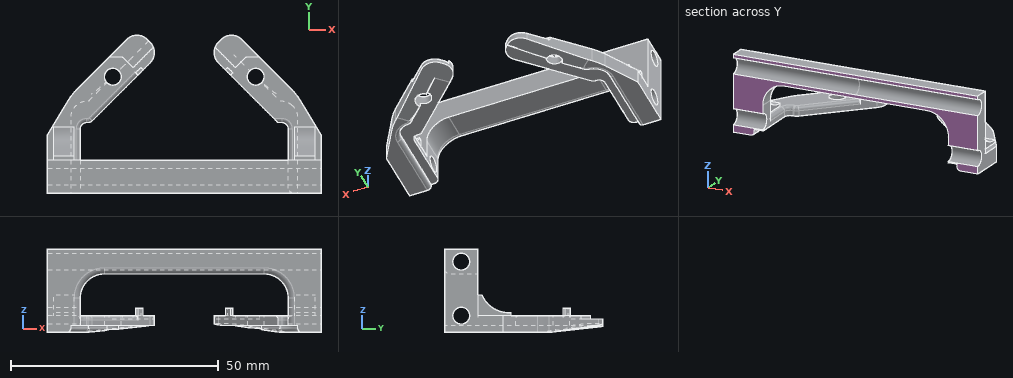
import cadquery as cq
import math

FRAME_WIDTH = 66.0
FRAME_DEPTH = 8.0
FRAME_HEIGHT = 20.0
LEG_WIDTH = 8.0
OPENING_HEIGHT = 14.0
OPENING_CORNER_RADIUS = 5.75
OPENING_FILLET = 1.5
HOLE_DIAMETER = 4.0
CROSS_HOLE_Y = FRAME_DEPTH / 2
CROSS_HOLE_HEIGHTS = (4.0, 17.0)

ARM_THICKNESS = 4.0
ARM_WIDTH = 8.0
ARM_ANGLE = 45.0
TOTAL_DEPTH = 38.09
ELBOW = (10.4, 17.0)
ELBOW_CONCAVE_RADIUS = 1.5
ELBOW_ROUND_RADIUS = 1.5
OUTER_STRAIGHT_END = 14.0
OUTER_SLANT_ANGLE = 58.9
OUTER_BEND_RADIUS = 15.0
TIP_RADIUS = 3.5
ARM_FILLET = 1.0

ARM_HOLE_ALONG = 11.65
TIP_STEP_DEPTH = 0.8
TIP_STEP_ALONG = 16.65
TIP_STEP_ACROSS = 2.1
TIP_STEP_Y = 32.85
PEG_ALONG = 16.2
PEG_LENGTH = 1.8
PEG_WIDTH = 0.8
PEG_TOP = 5.8
TAPER_ALONG = 4.5
LEFT_TAPER_ANGLE = 4.5
RIGHT_TAPER_ANGLE = 6.3

GROOVE_DEPTH = 1.6
LEG_GROOVE_WIDTH = 2.3
ARM_GROOVE_WIDTH = ARM_WIDTH / 2
GROOVE_HEAD_Y = 22.2
GROOVE_CORNER_RADIUS = 4.0
GROOVE_FILLET = 1.0

GUSSET_SIDE_GAP = 1.5
GUSSET_WIDTH = 5.0
GUSSET_END_Y = 16.0
GUSSET_TOP = 9.0
GUSSET_LEDGE_Y = 9.0
GUSSET_LIP_HEIGHT = 4.75
GUSSET_RADIUS = 7.0

OVERCUT = 1.0

COS_ARM = math.cos(math.radians(ARM_ANGLE))
SIN_ARM = math.sin(math.radians(ARM_ANGLE))


def arm_point(along, across):
    """Plan point at a distance along the arm from the elbow and across it from its inner edge."""
    x = ELBOW[0] + along * COS_ARM - across * SIN_ARM
    y = ELBOW[1] + along * SIN_ARM + across * COS_ARM
    return (x, y)


def arm_block(along_range, across_range, height):
    """Upright block from z = 0, aligned with the arm."""
    (start, end) = along_range
    (inner, outer) = across_range
    corners = [
        arm_point(start, inner),
        arm_point(end, inner),
        arm_point(end, outer),
        arm_point(start, outer),
    ]
    return cq.Workplane("XY").polyline(corners).close().extrude(height)


TIP_CORNER_Y = TOTAL_DEPTH - TIP_RADIUS
ARM_LENGTH = TIP_RADIUS + (
    TIP_CORNER_Y - ELBOW[1] - (ARM_WIDTH - TIP_RADIUS) * COS_ARM
) / SIN_ARM


def frame():
    body = cq.Workplane("XY").box(
        FRAME_WIDTH, FRAME_DEPTH, FRAME_HEIGHT, centered=(True, False, False)
    )
    opening = (
        cq.Workplane("XY")
        .box(
            FRAME_WIDTH - 2 * LEG_WIDTH,
            FRAME_DEPTH,
            OPENING_HEIGHT,
            centered=(True, False, False),
        )
        .edges("|Y and >Z")
        .fillet(OPENING_CORNER_RADIUS)
    )
    body = body.cut(opening)
    inner_x = FRAME_WIDTH / 2 - LEG_WIDTH
    front_rim = cq.selectors.BoxSelector(
        (-inner_x - OVERCUT, -OVERCUT, OVERCUT),
        (inner_x + OVERCUT, OVERCUT, OPENING_HEIGHT + OVERCUT),
    )
    return body.edges(front_rim).fillet(OPENING_FILLET)


def outer_bend_corner():
    """Sharp corner where the slanted outer side meets the outer edge of the arm."""
    slope = math.tan(math.radians(OUTER_SLANT_ANGLE))
    arm_slope = math.tan(math.radians(ARM_ANGLE))
    (edge_x, edge_y) = arm_point(0, ARM_WIDTH)
    x = (edge_y - arm_slope * edge_x - OUTER_STRAIGHT_END) / (slope - arm_slope)
    return (x, OUTER_STRAIGHT_END + slope * x)


def fillet_upright_edge(body, point, radius):
    (x, y) = point
    reach = 0.1
    selector = cq.selectors.BoxSelector(
        (x - reach, y - reach, 0), (x + reach, y + reach, ARM_THICKNESS)
    )
    return body.edges(selector).edges("|Z").fillet(radius)


def arm_plate(rounded_elbow):
    """Flat plate from the back of the frame to the still square tip of the arm."""
    bend = outer_bend_corner()
    tip_inner = arm_point(ARM_LENGTH, 0)
    tip_outer = arm_point(ARM_LENGTH, ARM_WIDTH)
    leg_corner = (LEG_WIDTH, ELBOW[1])
    outline = [
        (0, FRAME_DEPTH),
        (LEG_WIDTH, FRAME_DEPTH),
        leg_corner,
        ELBOW,
        tip_inner,
        tip_outer,
        bend,
        (0, OUTER_STRAIGHT_END),
    ]
    plate = cq.Workplane("XY").polyline(outline).close().extrude(ARM_THICKNESS)
    plate = fillet_upright_edge(plate, leg_corner, ELBOW_CONCAVE_RADIUS)
    plate = fillet_upright_edge(plate, bend, OUTER_BEND_RADIUS)
    if rounded_elbow:
        plate = fillet_upright_edge(plate, ELBOW, ELBOW_ROUND_RADIUS)
    return plate


def round_inner_edge(plate, rounded_elbow):
    """Round the top inner edge; past a rounded elbow the rounding runs on up to the peg."""
    leg_side = cq.selectors.NearestToPointSelector(
        (LEG_WIDTH, (FRAME_DEPTH + ELBOW[1]) / 2, ARM_THICKNESS)
    )
    rounded = plate.edges(leg_side).fillet(ARM_FILLET)
    if rounded_elbow:
        square_tip = plate.intersect(
            arm_block((PEG_ALONG, ARM_LENGTH), (0, ARM_WIDTH), ARM_THICKNESS)
        )
        rounded = rounded.union(square_tip)
    return rounded


def round_tip(plate):
    for across in (0, ARM_WIDTH):
        plate = fillet_upright_edge(plate, arm_point(ARM_LENGTH, across), TIP_RADIUS)
    return plate


def tip_step():
    """Volume above the lowered tip."""
    (outer_x, _) = arm_point(0, ARM_WIDTH + OVERCUT)
    inner_corner = arm_point(TIP_STEP_ALONG, TIP_STEP_ACROSS)
    kink_x = inner_corner[0] - (TIP_STEP_Y - inner_corner[1]) * math.tan(math.radians(ARM_ANGLE))
    far_end = ARM_LENGTH + OVERCUT
    far_corner = arm_point(far_end, ARM_WIDTH + OVERCUT)
    outline = [
        (outer_x, TIP_STEP_Y),
        (kink_x, TIP_STEP_Y),
        inner_corner,
        arm_point(far_end, TIP_STEP_ACROSS),
        far_corner,
        (outer_x, far_corner[1]),
    ]
    floor = ARM_THICKNESS - TIP_STEP_DEPTH
    return (
        cq.Workplane("XY")
        .workplane(offset=floor)
        .polyline(outline)
        .close()
        .extrude(TIP_STEP_DEPTH)
    )


def taper_wedge(angle):
    """Wedge under the arm that thins it towards the tip."""
    start = arm_point(TAPER_ALONG, -OVERCUT)
    run = ARM_LENGTH + OVERCUT - TAPER_ALONG
    rise = run * math.tan(math.radians(angle))
    section = cq.Plane(
        origin=(start[0], start[1], 0),
        xDir=(COS_ARM, SIN_ARM, 0),
        normal=(SIN_ARM, -COS_ARM, 0),
    )
    return (
        cq.Workplane(section)
        .polyline([(0, 0), (run, 0), (run, rise)])
        .close()
        .extrude(-(ARM_WIDTH + 2 * OVERCUT))
    )


def arm_hole():
    (x, y) = arm_point(ARM_HOLE_ALONG, ARM_WIDTH / 2)
    return cq.Workplane("XY").center(x, y).circle(HOLE_DIAMETER / 2).extrude(ARM_THICKNESS)


def groove():
    """Groove volume under the inner edge, from the front of the leg to the tip."""
    wall_x = LEG_WIDTH - LEG_GROOVE_WIDTH
    (line_x, line_y) = arm_point(0, ARM_GROOVE_WIDTH)
    bend_x = line_x + (GROOVE_HEAD_Y - line_y) / math.tan(math.radians(ARM_ANGLE))
    head_corner = (wall_x, GROOVE_HEAD_Y)
    far_end = ARM_LENGTH + OVERCUT
    outline = [
        (wall_x, 0),
        head_corner,
        (bend_x, GROOVE_HEAD_Y),
        arm_point(far_end, ARM_GROOVE_WIDTH),
        arm_point(far_end, -OVERCUT),
        (ELBOW[0], ELBOW[1] - OVERCUT),
        (ELBOW[0], 0),
    ]
    volume = cq.Workplane("XY").polyline(outline).close().extrude(GROOVE_DEPTH)
    return fillet_upright_edge(volume, head_corner, GROOVE_CORNER_RADIUS)


def round_groove_mouth(body):
    """Round the lower edge of the groove wall along the leg and the arm."""
    leg_edge_point = (LEG_WIDTH - LEG_GROOVE_WIDTH, FRAME_DEPTH, 0)
    (x, y) = arm_point(ARM_LENGTH / 2, ARM_GROOVE_WIDTH)
    leg_edge = cq.selectors.NearestToPointSelector(leg_edge_point)
    arm_edge = cq.selectors.NearestToPointSelector((x, y, 0))
    return body.edges(cq.selectors.SumSelector(leg_edge, arm_edge)).fillet(GROOVE_FILLET)


def gusset():
    """Rib with a hollow curved back that braces the leg on the arm."""
    return (
        cq.Workplane("YZ")
        .workplane(offset=GUSSET_SIDE_GAP)
        .moveTo(FRAME_DEPTH, ARM_THICKNESS)
        .lineTo(FRAME_DEPTH, GUSSET_TOP)
        .lineTo(GUSSET_LEDGE_Y, GUSSET_TOP)
        .radiusArc((GUSSET_END_Y, GUSSET_LIP_HEIGHT), -GUSSET_RADIUS)
        .lineTo(GUSSET_END_Y, ARM_THICKNESS)
        .close()
        .extrude(GUSSET_WIDTH)
    )


def arm(rounded_elbow):
    """Left-hand arm, with its outer side on x = 0."""
    plate = round_inner_edge(arm_plate(rounded_elbow), rounded_elbow)
    plate = round_tip(plate)
    peg = arm_block((PEG_ALONG, PEG_ALONG + PEG_LENGTH), (0, PEG_WIDTH), PEG_TOP)
    return plate.cut(tip_step()).union(peg).union(gusset())


def finish_underside(body, taper_angle):
    body = body.cut(groove())
    body = round_groove_mouth(body)
    body = body.cut(taper_wedge(taper_angle))
    return body.cut(arm_hole())


def cross_holes():
    return (
        cq.Workplane("YZ")
        .pushPoints([(CROSS_HOLE_Y, height) for height in CROSS_HOLE_HEIGHTS])
        .circle(HOLE_DIAMETER / 2)
        .extrude(FRAME_WIDTH / 2, both=True)
    )


HALF_WIDTH = FRAME_WIDTH / 2
left_frame = frame().translate((HALF_WIDTH, 0, 0)).intersect(
    cq.Workplane("XY").box(HALF_WIDTH, FRAME_DEPTH, FRAME_HEIGHT, centered=False)
)
left_half = finish_underside(left_frame.union(arm(True)), LEFT_TAPER_ANGLE)
right_half = finish_underside(left_frame.union(arm(False)), RIGHT_TAPER_ANGLE)
left_half = left_half.translate((-HALF_WIDTH, 0, 0))
right_half = right_half.translate((-HALF_WIDTH, 0, 0)).mirror("YZ")
result = left_half.union(right_half).cut(cross_holes())